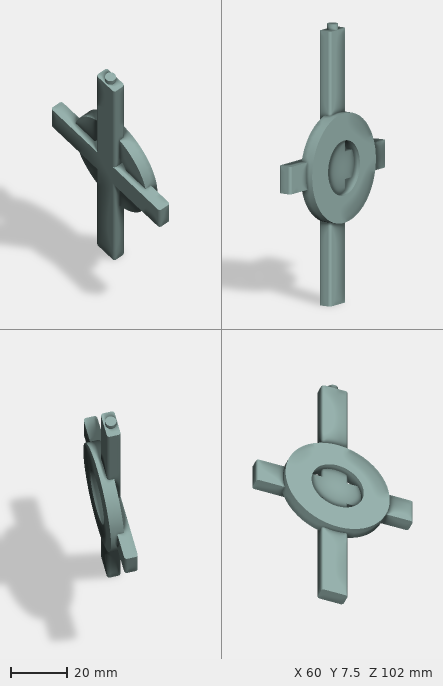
import cadquery as cq

bar_width = 10.0
bar_depth = bar_width / 2
crossbar_length = 60.0
overall_height = 102.0
pin_height = 2.0
pin_diameter = 4.0
shaft_height = overall_height - pin_height
edge_radius = 1.0

ring_outer_diameter = 40.0
ring_bore_diameter = ring_outer_diameter / 2
ring_depth = bar_depth


def rounded_bar(length_x, length_z):
    """Bar centred on the origin with its four vertical edges rounded."""
    bar = cq.Workplane("XY").box(length_x, bar_depth, length_z)
    return bar.edges("|Z").fillet(edge_radius)


shaft = rounded_bar(bar_width, shaft_height)
crossbar = rounded_bar(crossbar_length, bar_width)

ring = (
    cq.Workplane("XZ")
    .circle(ring_outer_diameter / 2)
    .circle(ring_bore_diameter / 2)
    .extrude(-ring_depth)
)

pin = (
    cq.Workplane("XY")
    .workplane(offset=shaft_height / 2)
    .circle(pin_diameter / 2)
    .extrude(pin_height)
)

result = shaft.union(crossbar).union(ring).union(pin)